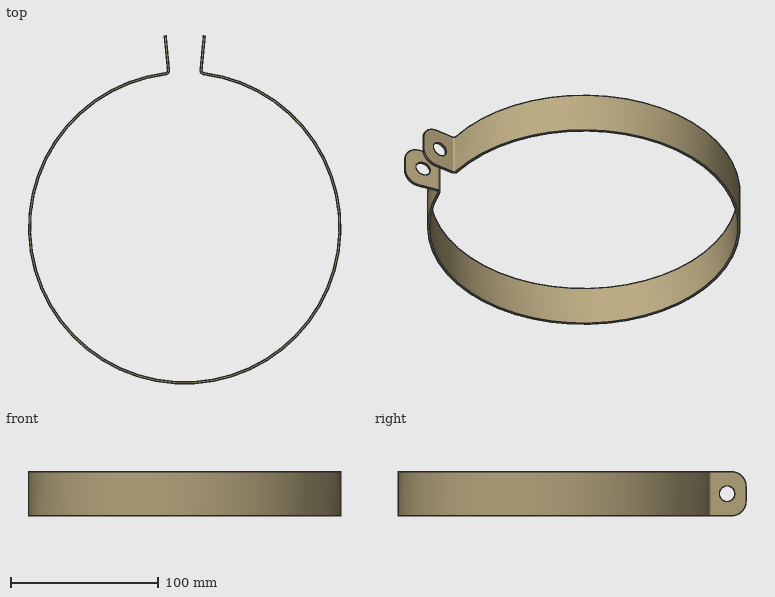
import cadquery as cq
import math

band_outer_radius = 106.0
strip_thickness = 1.5
strip_width = 30.0
gap_half_angle = 5.5
bend_inside_radius = 1.5
ear_tip_distance = 130.81
ear_corner_radius = 10.0
bolt_hole_diameter = 10.5
bolt_hole_to_tip = 13.0

band_inner_radius = band_outer_radius - strip_thickness
bend_outside_radius = bend_inside_radius + strip_thickness
bend_centre_distance = band_outer_radius + bend_inside_radius
bend_centre_across = bend_outside_radius
bend_centre_along = math.sqrt(bend_centre_distance**2 - bend_centre_across**2)
bend_centre_angle = math.degrees(math.asin(bend_centre_across / bend_centre_distance))
bolt_hole_along = ear_tip_distance - bolt_hole_to_tip


def ear_point(along, across, side):
    """Point in XY on the +X (side=1) or -X (side=-1) ear."""
    angle = math.radians(gap_half_angle)
    x = along * math.sin(angle) + across * math.cos(angle)
    y = along * math.cos(angle) - across * math.sin(angle)
    return (side * x, y)


def bend_point(radius, turn, side):
    """Point on a bend arc; turn runs from 0 at the ear to 1 at the band."""
    sweep = 90 - bend_centre_angle
    angle = math.radians(turn * sweep)
    along = bend_centre_along - radius * math.sin(angle)
    across = bend_centre_across - radius * math.cos(angle)
    return ear_point(along, across, side)


def make_strip():
    """Open band with both ears bent outward, as one constant-thickness strip."""
    right, left = 1, -1
    inside, outside = bend_inside_radius, bend_outside_radius
    return (
        cq.Workplane("XY", origin=(0, 0, -strip_width / 2))
        .moveTo(*ear_point(ear_tip_distance, strip_thickness, right))
        .lineTo(*bend_point(inside, 0, right))
        .threePointArc(bend_point(inside, 0.5, right), bend_point(inside, 1, right))
        .threePointArc((0, -band_outer_radius), bend_point(inside, 1, left))
        .threePointArc(bend_point(inside, 0.5, left), bend_point(inside, 0, left))
        .lineTo(*ear_point(ear_tip_distance, strip_thickness, left))
        .lineTo(*ear_point(ear_tip_distance, 0, left))
        .lineTo(*bend_point(outside, 0, left))
        .threePointArc(bend_point(outside, 0.5, left), bend_point(outside, 1, left))
        .threePointArc((0, -band_inner_radius), bend_point(outside, 1, right))
        .threePointArc(bend_point(outside, 0.5, right), bend_point(outside, 0, right))
        .lineTo(*ear_point(ear_tip_distance, 0, right))
        .close()
        .extrude(strip_width)
    )


def round_ear_corners(strip, side):
    """Round the two free corners of one ear."""
    tip_x, tip_y = ear_point(ear_tip_distance, strip_thickness / 2, side)
    reach = strip_thickness
    tip_box = cq.selectors.BoxSelector(
        (tip_x - reach, tip_y - reach, -strip_width),
        (tip_x + reach, tip_y + reach, strip_width),
    )
    return strip.edges(tip_box).edges("#Z").fillet(ear_corner_radius)


def bolt_hole(side):
    """Cutter for the bolt hole square through one ear."""
    start = ear_point(bolt_hole_along, -strip_thickness, side)
    end = ear_point(bolt_hole_along, 2 * strip_thickness, side)
    axis = cq.Vector(end[0] - start[0], end[1] - start[1], 0)
    return cq.Solid.makeCylinder(bolt_hole_diameter / 2, axis.Length, cq.Vector(*start, 0), axis)


result = make_strip()
for ear_side in (1, -1):
    result = round_ear_corners(result, ear_side)
    result = result.cut(bolt_hole(ear_side))